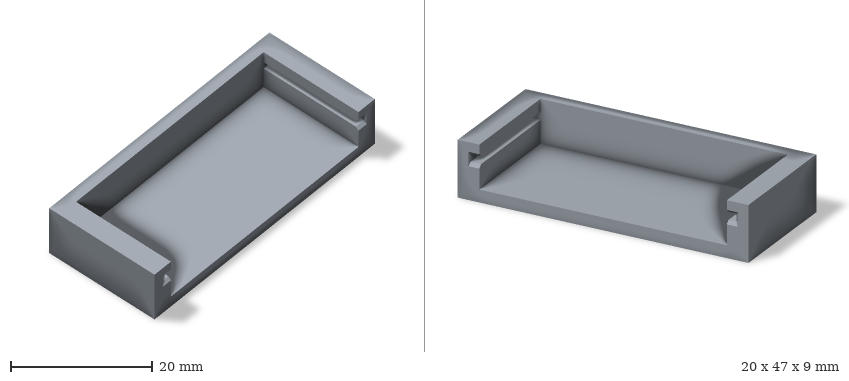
import cadquery as cq

length_x = 20.0
width_y = 47.0
height_z = 9.0
back_wall = 2.0
end_wall = 3.5
floor_thickness = 2.0

groove_bottom = 5.75
groove_top = 7.0
groove_depth = end_wall / 2
mouth_chamfer = 0.5

pocket_width = width_y - 2 * end_wall
pocket_length = length_x - back_wall


def tray_body():
    """Block with a pocket that runs out through the +X side."""
    block = cq.Workplane("XY").box(length_x, width_y, height_z, centered=(False, True, False))
    pocket = (
        cq.Workplane("XY", origin=(back_wall, 0, floor_thickness))
        .box(pocket_length, pocket_width, height_z - floor_thickness, centered=(False, True, False))
    )
    return block.cut(pocket)


def groove_cutter():
    """Slot reaching into both end walls, flared by 45-degree chamfers at its +X mouth."""
    groove_span = pocket_width + 2 * groove_depth
    mouth_start = length_x - mouth_chamfer
    return (
        cq.Workplane("XZ", origin=(0, groove_span / 2, 0))
        .moveTo(back_wall, groove_bottom)
        .lineTo(mouth_start, groove_bottom)
        .lineTo(length_x, groove_bottom - mouth_chamfer)
        .lineTo(length_x, groove_top + mouth_chamfer)
        .lineTo(mouth_start, groove_top)
        .lineTo(back_wall, groove_top)
        .close()
        .extrude(groove_span)
    )


result = tray_body().cut(groove_cutter())